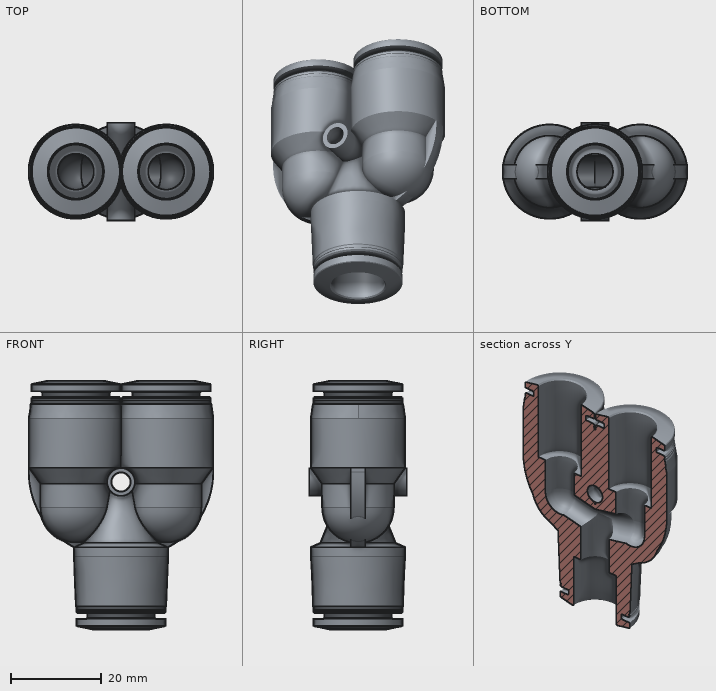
import cadquery as cq
import math

height = 55.2
body_r = 10.5
overall_width = 41.0
branch_x = overall_width / 2 - body_r

flange_r = 19.8 / 2
neck_r = 15.0 / 2
bore_r = 12.0 / 2
bore_chamfer = 0.3
flange_slope = 0.7
edge_chamfer = 0.15
flange_depth = 2.4
neck_chamfer = 0.2
collar_depth = 3.6
collar_chamfer = 0.35
groove_depth = 4.3
groove_width = 0.15
groove_r = 9.7
shoulder_depth = 5.2
shoulder_step = 0.15
shoulder_r = 10.05
bore_depth = 19.3
base_bore_depth = 13.25

branch_taper_depth = 8.3
step_top_z = 35.9
step_bottom_z = 32.35
barrel_r = 8.0
ball_z = 27.15

base_taper_depth = 16.25
base_edge_z = 18.25
base_top_z = 19.2
cone_bottom_r = 8.4
cone_top_r = 2.75

passage_r = 8.0 / 2
cross_r = 7.0 / 2
cross_angle = 12.0
junction_z = ball_z - branch_x * math.tan(math.radians(cross_angle))

eye_z = 32.75
eye_r = 6.2 / 2
eye_hole_r = 4.2 / 2
eye_length = 21.7

rib_thickness = 3.15
rib_mid_x = 17.7
rib_mid_z = 25.05
rib_flat_z = 35.0


def port_body(taper_depth, inner_outline):
    """Revolved port with its end face at Z = 0, extending upward."""
    end_outline = [
        (0, 0),
        (bore_r + bore_chamfer, 0),
        (flange_r - edge_chamfer, flange_slope),
        (flange_r, flange_slope + edge_chamfer),
        (flange_r, flange_depth),
        (neck_r + neck_chamfer, flange_depth),
        (neck_r, flange_depth + neck_chamfer),
        (neck_r, collar_depth),
        (flange_r - collar_chamfer, collar_depth),
        (flange_r, collar_depth + collar_chamfer),
        (flange_r, groove_depth),
        (groove_r, groove_depth),
        (groove_r, groove_depth + groove_width),
        (flange_r, groove_depth + groove_width),
        (flange_r, shoulder_depth - shoulder_step),
        (shoulder_r, shoulder_depth),
        (body_r, taper_depth),
    ]
    outline = cq.Workplane("XZ").polyline(end_outline + inner_outline).close()
    return outline.revolve(360, (0, 0, 0), (0, 1, 0))


def port_bore(depth):
    """Tube socket with a chamfered mouth at Z = 0."""
    outline = [
        (0, 0),
        (bore_r + bore_chamfer, 0),
        (bore_r, bore_chamfer),
        (bore_r, depth),
        (0, depth),
    ]
    return cq.Workplane("XZ").polyline(outline).close().revolve(360, (0, 0, 0), (0, 1, 0))


def to_branch(shape, side):
    """Turn a port feature upside down and move it to a branch."""
    return shape.rotate((0, 0, 0), (1, 0, 0), 180).translate((side * branch_x, 0, height))


def ball_ended_rod(radius, x, top_z):
    """Vertical rod from top_z down to a ball centred at ball_z."""
    rod = cq.Workplane("XY", origin=(x, 0, ball_z)).circle(radius).extrude(top_z - ball_z)
    return rod.union(cq.Workplane("XY").sphere(radius).translate((x, 0, ball_z)))


def branch(side):
    sleeve = port_body(
        branch_taper_depth,
        [
            (body_r, height - step_top_z),
            (barrel_r, height - step_bottom_z),
            (0, height - step_bottom_z),
        ],
    )
    return to_branch(sleeve, side).union(ball_ended_rod(barrel_r, side * branch_x, step_top_z))


def base():
    return port_body(
        base_taper_depth,
        [
            (body_r, base_edge_z),
            (cone_bottom_r, base_top_z),
            (cone_top_r, eye_z),
            (0, eye_z),
        ],
    )


def rib(side):
    """Flat web curving from the branch sleeve down to the base."""
    outline = (
        cq.Workplane("XZ")
        .moveTo(side * branch_x, step_top_z)
        .lineTo(side * overall_width / 2, step_top_z)
        .lineTo(side * overall_width / 2, rib_flat_z)
        .threePointArc((side * rib_mid_x, rib_mid_z), (side * body_r, base_edge_z))
        .lineTo(0, base_edge_z)
        .lineTo(0, ball_z)
        .lineTo(side * branch_x, ball_z)
        .close()
    )
    return outline.extrude(rib_thickness / 2, both=True)


def y_cylinder(radius):
    return cq.Workplane("XZ", origin=(0, 0, eye_z)).circle(radius).extrude(eye_length / 2, both=True)


def cross_passage(side):
    """Passage sloping down from a branch ball to the Z axis."""
    slope = math.radians(cross_angle)
    direction = cq.Vector(-side * math.cos(slope), 0, -math.sin(slope))
    start = cq.Vector(side * branch_x, 0, ball_z)
    length = branch_x / math.cos(slope)
    return cq.Workplane(cq.Solid.makeCylinder(cross_r, length, start, direction))


sides = (-1, 1)

result = base()
for side in sides:
    result = result.union(branch(side)).union(rib(side))
result = result.union(y_cylinder(eye_r))

result = result.cut(port_bore(base_bore_depth))
result = result.cut(cq.Workplane("XY").circle(passage_r).extrude(junction_z))
for side in sides:
    result = result.cut(to_branch(port_bore(bore_depth), side))
    result = result.cut(ball_ended_rod(passage_r, side * branch_x, height - bore_depth))
    result = result.cut(cross_passage(side))
result = result.cut(y_cylinder(eye_hole_r))